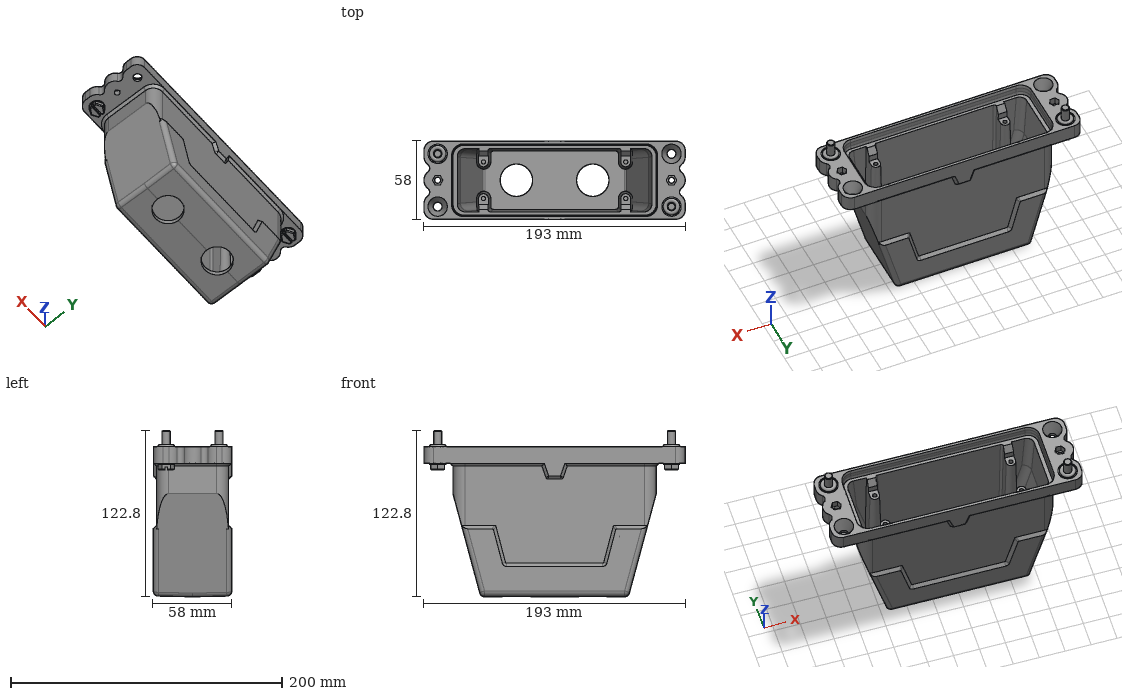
import cadquery as cq
import math

flange_length = 193.0
flange_width = 57.9
flange_thickness = 12.4
flange_corner_radius = 7.1
notch_spacing = 8.78
notch_depth = 4.2
notch_hollow_share = 0.3

body_length = 150.2
body_width = 53.3
body_corner_radius = 8.9
collar_height = 2.1
taper_start_z = -34.7
end_slope = 0.27
bottom_z = -111.0
bottom_crown = 0.5

block_width = 58.0
block_top_z = -58.3
block_edge_radius = 3.9
recess_top_half = 43.5
recess_floor_half = 36.0
recess_floor_z = -86.0
recess_corner_radius = 0.8
shoulder_radius = 1.5
step_height = (block_width - body_width) / 2

tab_top_half = 11.0
tab_tip_half = 6.0
tab_tip_z = -24.1
tab_corner_radius = 2.3
tab_overlap = 2.7

opening_length = 152.0
opening_width = 53.7
opening_radius = 8.9
opening_lean = 0.5
opening_band = 2.5
ledge_z = -8.7
cavity_length = 143.5
cavity_width = 46.7
cavity_corner_radius = 5.8
cavity_floor_z = -106.2
cavity_slope_z = -41.9
cavity_slope_half = 69.5
cavity_floor_half = 52.7
cavity_floor_radius = 1.5
cavity_draft = 2.0

boss_x = 52.5
boss_hole_y = 13.5
boss_wall_y = 24.7
boss_top_width = 6.8
boss_floor_width = 10.5
boss_top_z = -19.3
boss_hole_diameter = 3.0
boss_hole_depth = 15.5
boss_root_radius = 1.7
ramp_setback = 1.7
ramp_length = 3.7
ramp_height = 5.5

cable_hole_x = 28.2
cable_hole_diameter = 23.7

screw_x = 86.3
screw_y = 19.5
screw_diameter = 6.2
screw_tip_z = 11.8
screw_tip_chamfer = 0.5
seal_center_radius = 4.54
seal_radius = 1.65
seal_base_thickness = 0.2
washer_diameter = 12.0
washer_thickness = 0.8
head_across_flats = 10.5
head_bottom_z = -17.4
head_chamfer = 0.8
head_slot_width = 1.7
head_slot_depth = 2.3

cone_diameter = 14.3
screw_hole_diameter = 6.4
cone_depth = 9.6
nut_across_corners = 7.7
nut_depth = 5.8
nut_hole_diameter = 4.2


def rounded_block(length, width, radius, top_z, bottom):
    """Upright block with rounded vertical corners."""
    block = cq.Workplane("XY").workplane(offset=bottom).rect(length, width).extrude(top_z - bottom)
    return block.edges("|Z").fillet(radius)


def prism_along_y(points, width):
    """Outline in x and z, extruded symmetrically about y = 0."""
    return cq.Workplane("XZ").polyline(points).close().extrude(width / 2, both=True)


def prism_along_x(points, length):
    """Outline in y and z, extruded symmetrically about x = 0."""
    return cq.Workplane("YZ").polyline(points).close().extrude(length / 2, both=True)


def vertical_hole(x, y, diameter, top_z, bottom):
    """Upright cylinder between two heights."""
    return cq.Workplane("XY").workplane(offset=top_z).center(x, y).circle(diameter / 2).extrude(bottom - top_z)


def mirrored(points):
    """Complete an outline given for one half with its mirror image."""
    return points + [(-u, v) for u, v in reversed(points)]


def end_half(z):
    """Half length of the tapered body at height z."""
    return body_length / 2 - end_slope * max(taper_start_z - z, 0)


def notch_cutter(side, y_sign):
    """Smooth dip in the flange end, made of one hollow and two crest arcs."""
    turn = 2 * math.atan(notch_depth / notch_spacing)
    hollow_run = notch_spacing * notch_hollow_share
    hollow_rise = notch_depth * notch_hollow_share
    crest_radius = notch_spacing * (1 - notch_hollow_share) / math.sin(turn)
    crest_mid_run = crest_radius * math.sin(turn / 2)
    crest_mid_drop = crest_radius * (1 - math.cos(turn / 2))
    end_x = flange_length / 2
    floor_x = end_x - notch_depth
    far_y = 2 * notch_spacing

    def at(x, y):
        return side * x, y_sign * y

    return (
        cq.Workplane("XY")
        .moveTo(*at(end_x, 0))
        .threePointArc(
            at(end_x - crest_mid_drop, crest_mid_run),
            at(floor_x + hollow_rise, notch_spacing - hollow_run),
        )
        .threePointArc(
            at(floor_x, notch_spacing),
            at(floor_x + hollow_rise, notch_spacing + hollow_run),
        )
        .threePointArc(
            at(end_x - crest_mid_drop, far_y - crest_mid_run),
            at(end_x, far_y),
        )
        .close()
        .extrude(-flange_thickness)
    )


def make_flange():
    flange = rounded_block(flange_length, flange_width, flange_corner_radius, 0, -flange_thickness)
    for side in (-1, 1):
        for y_sign in (-1, 1):
            flange = flange.cut(notch_cutter(side, y_sign))
    return flange


def make_upper_body():
    lower_z = block_top_z - step_height
    body = rounded_block(body_length, body_width, body_corner_radius, -flange_thickness, lower_z)
    taper = [
        (end_half(0), 0),
        (end_half(taper_start_z), taper_start_z),
        (end_half(lower_z), lower_z),
    ]
    body = body.intersect(prism_along_y(mirrored(taper), body_width))
    collar = (
        cq.Workplane("XY")
        .workplane(offset=-flange_thickness - collar_height)
        .sketch()
        .rect(body_length, body_width)
        .vertices()
        .fillet(body_corner_radius)
        .finalize()
        .extrude(collar_height, taper=-45)
    )
    return body.union(collar)


def make_lower_block():
    """Wider bottom part, stepped back to the body width inside the recess."""
    ends = [(end_half(block_top_z), block_top_z), (end_half(bottom_z), bottom_z)]
    crown = [
        (block_width / 2, block_top_z),
        (block_width / 2, bottom_z + bottom_crown),
        (0, bottom_z),
        (-block_width / 2, bottom_z + bottom_crown),
        (-block_width / 2, block_top_z),
    ]
    block = prism_along_y(mirrored(ends), block_width)
    block = block.intersect(prism_along_x(crown, body_length))
    block = block.faces("<Y or >Y or <X or >X").edges("not >Z").fillet(block_edge_radius)

    clear_half = body_length
    recess = [
        (clear_half, 0),
        (clear_half, block_top_z),
        (recess_top_half, block_top_z),
        (recess_floor_half, recess_floor_z),
    ]
    outline = mirrored(recess)
    cutter = (
        cq.Workplane("XZ", origin=(0, -body_width / 2, 0))
        .sketch()
        .polygon(outline + outline[:1])
        .vertices("<Y")
        .fillet(recess_corner_radius)
        .finalize()
        .extrude(step_height, taper=-45)
    )
    block = block.cut(cutter).cut(cutter.mirror("XZ"))
    shoulder_zone = cq.selectors.BoxSelector(
        (-recess_top_half - 2, -block_width, block_top_z - 2),
        (recess_top_half + 2, block_width, block_top_z - 0.5),
    )
    return block.edges(shoulder_zone).fillet(shoulder_radius)


def make_tabs():
    """Bevelled tab under the middle of each long flange side."""
    top_z = tab_overlap - flange_thickness
    outline = mirrored([(tab_top_half, top_z), (tab_tip_half, tab_tip_z)])
    tab = (
        cq.Workplane("XZ", origin=(0, -body_width / 2, 0))
        .sketch()
        .polygon(outline + outline[:1])
        .vertices("<Y")
        .fillet(tab_corner_radius)
        .finalize()
        .extrude(flange_width / 2 - body_width / 2, taper=45)
    )
    return tab.union(tab.mirror("XZ"))


def rim_band(inset, height, lean):
    """Downward band of the seal rim, set in from the opening edge."""
    return (
        cq.Workplane("XY")
        .sketch()
        .rect(opening_length - 2 * inset, opening_width - 2 * inset)
        .vertices()
        .fillet(opening_radius - inset)
        .finalize()
        .extrude(-height, taper=math.degrees(math.atan(lean / height)))
    )


def make_opening():
    """Seal rim: leaning band, upright band, and a second leaning band down to the ledge."""
    lower_top = ledge_z + opening_band
    top_band = rim_band(0, opening_band, opening_lean)
    upright_band = rim_band(opening_lean, -lower_top, 0)
    bottom_band = rim_band(opening_lean, opening_band, opening_lean).translate((0, 0, lower_top))
    return top_band.union(upright_band).union(bottom_band)


def make_cavity():
    """Tapered hollow with drafted long walls and rounded end corners."""
    outline = [
        (cavity_length / 2, ledge_z),
        (cavity_slope_half, cavity_slope_z),
        (cavity_floor_half, cavity_floor_z),
    ]
    walls = [
        (cavity_width / 2, ledge_z),
        (cavity_width / 2 - cavity_draft, cavity_floor_z),
    ]
    cavity = prism_along_y(mirrored(outline), cavity_width)
    cavity = cavity.intersect(prism_along_x(mirrored(walls), cavity_length))
    end_corners = cq.selectors.BoxSelector(
        (-cavity_length, -cavity_width, cavity_floor_z + 2),
        (cavity_length, cavity_width, ledge_z - 2),
    )
    return cavity.edges(end_corners).edges("not |Y").fillet(cavity_corner_radius)


def boss_column(x, side):
    """Drafted pillar on a long wall, rising from the cavity floor to the ledge."""
    height = boss_top_z - cavity_floor_z
    draft = math.degrees(math.atan((boss_floor_width - boss_top_width) / 2 / height))
    return (
        cq.Workplane("XY")
        .workplane(offset=ledge_z)
        .center(x, side * (boss_wall_y + boss_hole_y) / 2)
        .slot2D(boss_wall_y - boss_hole_y + boss_top_width, boss_top_width, 90)
        .extrude(cavity_floor_z - ledge_z, taper=-draft)
    )


def boss_clearance(x, side):
    """Space above a pillar: the cut above its seat, the ramp behind the seat, and the screw hole."""
    ramp_top_y = cavity_width / 2 - ramp_setback
    ramp_foot_y = ramp_top_y - ramp_length
    outline = [
        (side * ramp_top_y, ledge_z),
        (side * ramp_foot_y, ledge_z - ramp_height),
        (side * ramp_foot_y, boss_top_z),
        (0, boss_top_z),
        (0, ledge_z),
    ]
    above_seat = prism_along_x(outline, body_length).intersect(boss_column(x, side))
    hole = vertical_hole(x, side * boss_hole_y, boss_hole_diameter, boss_top_z, boss_top_z - boss_hole_depth)
    return above_seat.union(hole)


def inner_root_edges():
    """Selector for the upright edges where the inner boss sides meet the long walls."""
    wall_y = cavity_width / 2 - cavity_draft
    return cq.selectors.BoxSelector(
        (-boss_x, -cavity_width / 2, cavity_floor_z / 2 - 9.6),
        (boss_x, cavity_width / 2, cavity_slope_z + 9.6),
    ) - cq.selectors.BoxSelector(
        (-boss_x, -wall_y, cavity_floor_z),
        (boss_x, wall_y, 0),
    )


def make_screw_hole(x, y):
    bore = vertical_hole(x, y, screw_hole_diameter, 0, -flange_thickness)
    cone = cq.Solid.makeCone(
        cone_diameter / 2, screw_hole_diameter / 2, cone_depth, cq.Vector(x, y, 0), cq.Vector(0, 0, -1)
    )
    return bore.union(cq.Workplane(cone))


def make_nut_hole(x):
    bore = vertical_hole(x, 0, nut_hole_diameter, 0, -flange_thickness)
    pocket = cq.Workplane("XY").center(x, 0).polygon(6, nut_across_corners).extrude(-nut_depth)
    return bore.union(pocket)


def make_screw(x, y):
    """Fitted screw: threaded end with seal ring above, washer and slotted hex head below."""
    shank = vertical_hole(0, 0, screw_diameter, screw_tip_z, -flange_thickness)
    shank = shank.faces(">Z").chamfer(screw_tip_chamfer)
    seal = cq.Workplane(cq.Solid.makeTorus(seal_center_radius, seal_radius))
    seal_base = vertical_hole(0, 0, cone_diameter, seal_base_thickness, 0)
    washer_z = -flange_thickness - washer_thickness
    washer = vertical_hole(0, 0, washer_diameter, -flange_thickness, washer_z)
    head_corner_diameter = head_across_flats / math.cos(math.radians(30))
    head = (
        cq.Workplane("XY")
        .workplane(offset=head_bottom_z)
        .transformed(rotate=(0, 0, 30))
        .polygon(6, head_corner_diameter)
        .extrude(washer_z - head_bottom_z)
        .faces("<Z")
        .chamfer(head_chamfer)
    )
    slot = (
        cq.Workplane("XY")
        .workplane(offset=head_bottom_z)
        .rect(head_corner_diameter, head_slot_width)
        .extrude(head_slot_depth)
    )
    screw = shank.union(seal).union(seal_base).union(washer).union(head.cut(slot))
    return screw.translate((x, y, 0))


shell = make_flange().union(make_upper_body()).union(make_lower_block()).union(make_tabs())

boss_places = [(x, side) for x in (-boss_x, boss_x) for side in (-1, 1)]
cavity = make_cavity()
for x, side in boss_places:
    cavity = cavity.cut(boss_column(x, side))
cavity = cavity.edges(inner_root_edges()).fillet(boss_root_radius)
cavity = cavity.faces("<Z").edges("|Y").edges("<X or >X").fillet(cavity_floor_radius)
for x, side in boss_places:
    cavity = cavity.union(boss_clearance(x, side))
shell = shell.cut(make_opening()).cut(cavity)

for side in (-1, 1):
    shell = shell.cut(vertical_hole(side * cable_hole_x, 0, cable_hole_diameter, cavity_floor_z, bottom_z))
    shell = shell.cut(make_nut_hole(side * screw_x))
    shell = shell.cut(make_screw_hole(side * screw_x, side * screw_y))

for side in (-1, 1):
    shell = shell.union(make_screw(side * screw_x, -side * screw_y))

result = shell